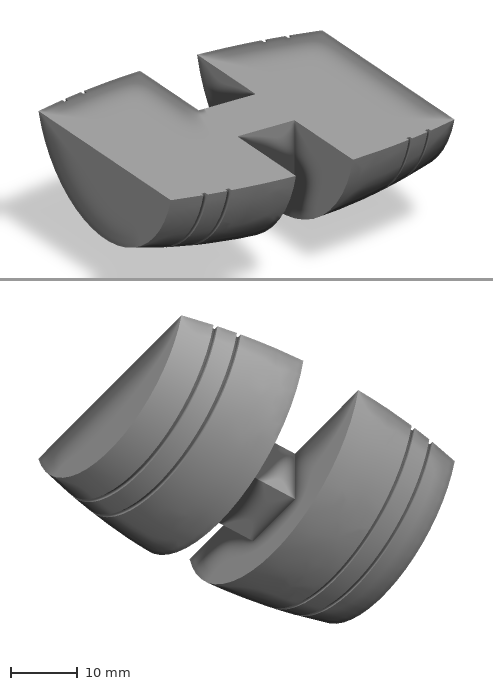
import cadquery as cq
import math

length = 50.8
axis_height = 5.05
max_radius = 22.2
crown_radius = 100.1

slot_width = 10.2
web_width = 10.65
web_height = 10.0

groove_positions = (16.2, 20.0)
groove_width = 0.65
groove_depth = 0.65

half_length = length / 2
cut_size = 2 * length


def barrel_radius(y):
    """Radius of the crowned surface at distance y from mid length."""
    return max_radius - crown_radius + math.sqrt(crown_radius**2 - y**2)


def revolve_about_barrel_axis(profile):
    return profile.revolve(360, (0, 0, 0), (0, 1, 0)).translate((0, 0, axis_height))


def make_barrel():
    end_radius = barrel_radius(half_length)
    profile = (
        cq.Workplane("XY")
        .moveTo(0, -half_length)
        .lineTo(end_radius, -half_length)
        .threePointArc((max_radius, 0), (end_radius, half_length))
        .lineTo(0, half_length)
        .close()
    )
    return revolve_about_barrel_axis(profile)


def make_groove_ring(y):
    floor_radius = barrel_radius(y) - groove_depth
    ring_thickness = max_radius - floor_radius
    profile = (
        cq.Workplane("XY")
        .moveTo(floor_radius + ring_thickness / 2, y)
        .rect(ring_thickness, groove_width)
    )
    return revolve_about_barrel_axis(profile)


def make_web():
    return cq.Workplane("XY").box(
        web_width, slot_width, web_height, centered=(True, True, False)
    ).translate((0, 0, -web_height))


body = make_barrel()
for position in groove_positions:
    for side in (-1, 1):
        body = body.cut(make_groove_ring(side * position))

above_top = cq.Workplane("XY").box(cut_size, cut_size, cut_size, centered=(True, True, False))
body = body.cut(above_top)

slot = cq.Workplane("XY").box(cut_size, slot_width, cut_size)
result = body.cut(slot).union(make_web())